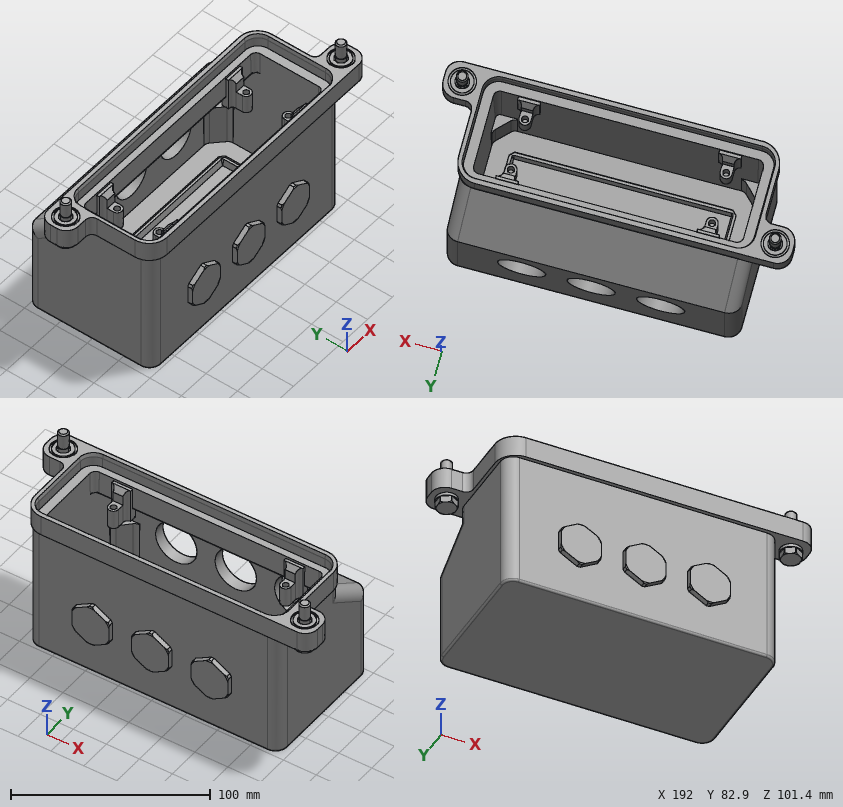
import cadquery as cq
import math

BODY_LENGTH = 152.8
BODY_DEPTH = 79.9
BODY_CORNER_RADIUS = 7.1
BOTTOM_EDGE_RADIUS = 1.2
SLOPE_LOW_Z = 54.0
SLOPE_HIGH_Z = 70.8
UPPER_BACK_Y = 55.0

FLANGE_BOTTOM_Z = 78.0
FLANGE_TOP_Z = 90.0
FLANGE_LENGTH = 156.5
FLANGE_DEPTH = 59.0
FLANGE_BACK_Y = 56.8
FLANGE_CORNER_RADIUS = 11.5

LUG_TIP_X = 96.0
LUG_WIDTH = 19.2
LUG_CORNER_RADIUS = 7.5
LUG_NECK_RADIUS = 4.0

RECESS_DEPTH = 8.0
RECESS_LENGTH = 151.0
RECESS_WIDTH = 52.8
RECESS_CORNER_RADIUS = 8.0
RIM_BEVEL_WIDTH = 0.5
RIM_BEVEL_HEIGHT = 2.3

DRAFT = 1.2
OPENING_LENGTH = 140.2
OPENING_FRONT_Y = 5.8
OPENING_BACK_Y = 49.7
OPENING_CORNER_RADIUS = 2.0
BACK_WALL = 7.1
FLOOR_Z = 9.8

POCKET_LENGTH = 117.9
POCKET_DEPTH = 44.2
POCKET_DROP = 4.8
POCKET_BEVEL = 1.3
POCKET_STEP = 1.2
POCKET_CORNER_CUT = 2.3

POST_TOP_Z = 34.5
POST_LEG = 8.6
POST_BLEND_RADIUS = 4.2

BOSS_X = 52.2
BOSS_HALF_PITCH = 13.5
BOSS_WIDTH = 6.1
BOSS_HOLE_DIAMETER = 3.5
BOSS_HOLE_DEPTH = 7.7
BOSS_TOP_Z = 72.0
BOSS_HEIGHT = 11.5
BLOCK_TOP_Z = 80.6
BLOCK_REACH = 4.6
BLOCK_BEVEL = 2.9
BLOCK_FLARE = 2.7
PAD_THICKNESS = 1.7

PORT_PITCH = 36.0
PORT_Z = 32.8
PORT_DIAMETER = 25.0
PLUG_ACROSS_FLATS = 22.5
PLUG_ROUND_DIAMETER = 25.0
PLUG_HEIGHT = 3.0
PLUG_BEVEL = 0.5

STUD_X = 86.5
STUD_HALF_PITCH_Y = 19.5
STUD_TOP_Z = 101.4
STUD_DIAMETER = 6.0
STUD_BEVEL = 0.8
NECK_DIAMETER = 5.4
NECK_TOP_Z = 91.8
STUD_HOLE_DIAMETER = 7.3
STUD_HOLE_DEPTH = 1.5
RING_INNER_DIAMETER = 12.0
RING_OUTER_DIAMETER = 14.2
RING_DEPTH = 0.8
HEAD_FLANGE_DIAMETER = 12.0
HEAD_FLANGE_HEIGHT = 1.7
HEAD_ACROSS_FLATS = 10.4
HEAD_ROUND_DIAMETER = 11.7
HEAD_BOTTOM_Z = 72.4
HEAD_BEVEL = 0.5

SLOPE_ANGLE = math.atan2(SLOPE_HIGH_Z - SLOPE_LOW_Z, BODY_DEPTH - UPPER_BACK_Y)
LEDGE_Z = FLANGE_TOP_Z - RECESS_DEPTH
FLANGE_CENTER_Y = FLANGE_BACK_Y - FLANGE_DEPTH / 2
OPENING_CENTER_Y = (OPENING_FRONT_Y + OPENING_BACK_Y) / 2
CAVITY_BACK_Y = BODY_DEPTH - BACK_WALL
DRAFT_SHIFT = (LEDGE_Z - FLOOR_Z) * math.tan(math.radians(DRAFT))
PORT_XS = (-PORT_PITCH, 0, PORT_PITCH)
SIDES = (-1, 1)


def block(length, depth, center_y, bottom_z, height):
    """Box centred on X."""
    box = cq.Workplane("XY").box(length, depth, height, (True, True, False))
    return box.translate((0, center_y, bottom_z))


def cylinder(diameter, bottom_z, top_z):
    return cq.Workplane("XY").workplane(offset=bottom_z).circle(diameter / 2).extrude(top_z - bottom_z)


def beveled_hexagon(across_flats, round_diameter, height, bevel):
    """Hexagonal prism rising along Z, trimmed by a round bar with a beveled top edge."""
    prism = cq.Workplane("XY").polygon(6, across_flats / math.cos(math.pi / 6)).extrude(height)
    bar = cylinder(round_diameter, 0, height).faces(">Z").chamfer(bevel)
    return prism.intersect(bar)


def make_body():
    """Solid housing with its sloped back and rounded corners."""
    profile = (
        cq.Workplane("YZ")
        .polyline([
            (0, 0), (BODY_DEPTH, 0), (BODY_DEPTH, SLOPE_LOW_Z),
            (UPPER_BACK_Y, SLOPE_HIGH_Z), (UPPER_BACK_Y, FLANGE_BOTTOM_Z), (0, FLANGE_BOTTOM_Z),
        ])
        .close()
    )
    body = profile.extrude(BODY_LENGTH / 2, both=True)
    body = body.edges("(<X or >X) and (not <Z) and (not >Z)").fillet(BODY_CORNER_RADIUS)
    return body.faces("<Z").edges().fillet(BOTTOM_EDGE_RADIUS)


def make_lug():
    """Ear at the -X end of the flange, flush with the flange's back edge."""
    inner_x = FLANGE_CORNER_RADIUS - FLANGE_LENGTH / 2
    height = FLANGE_TOP_Z - FLANGE_BOTTOM_Z
    lug = (
        cq.Workplane("XY").workplane(offset=FLANGE_BOTTOM_Z)
        .moveTo((inner_x - LUG_TIP_X) / 2, FLANGE_BACK_Y - LUG_WIDTH / 2)
        .rect(LUG_TIP_X + inner_x, LUG_WIDTH).extrude(height)
    )
    return lug.edges("|Z and <X").fillet(LUG_CORNER_RADIUS)


def half_turn(shape):
    """Copy turned half a turn about the flange's vertical axis."""
    return shape.rotate((0, FLANGE_CENTER_Y, 0), (0, FLANGE_CENTER_Y, 1), 180)


def make_flange():
    height = FLANGE_TOP_Z - FLANGE_BOTTOM_Z
    plate = block(FLANGE_LENGTH, FLANGE_DEPTH, FLANGE_CENTER_Y, FLANGE_BOTTOM_Z, height)
    plate = plate.edges("|Z").fillet(FLANGE_CORNER_RADIUS)
    lug = make_lug()
    flange = plate.union(lug).union(half_turn(lug))
    neck_x = FLANGE_LENGTH / 2
    neck_offset_y = FLANGE_BACK_Y - LUG_WIDTH - FLANGE_CENTER_Y
    for side in SIDES:
        corner = cq.selectors.NearestToPointSelector(
            (side * neck_x, FLANGE_CENTER_Y - side * neck_offset_y, FLANGE_BOTTOM_Z + height / 2)
        )
        flange = flange.edges("|Z").edges(corner).fillet(LUG_NECK_RADIUS)
    return flange


def make_recess():
    """Gasket seat with a steep bevel around its rim."""
    seat = block(RECESS_LENGTH, RECESS_WIDTH, FLANGE_CENTER_Y, LEDGE_Z, RECESS_DEPTH)
    seat = seat.edges("|Z").fillet(RECESS_CORNER_RADIUS)
    bevel_angle = math.degrees(math.atan2(RIM_BEVEL_WIDTH, RIM_BEVEL_HEIGHT))
    outline = cq.Sketch().rect(RECESS_LENGTH, RECESS_WIDTH).vertices().fillet(RECESS_CORNER_RADIUS)
    rim = (
        cq.Workplane("XY").placeSketch(outline).extrude(RIM_BEVEL_HEIGHT, taper=-bevel_angle)
        .translate((0, FLANGE_CENTER_Y, FLANGE_TOP_Z - RIM_BEVEL_HEIGHT))
    )
    return seat.union(rim)


def drafted_well(front_y, back_y):
    """Rounded well from the floor to the ledge; the sizes given apply at the ledge."""
    outline = (
        cq.Sketch().rect(OPENING_LENGTH - 2 * DRAFT_SHIFT, back_y - front_y - 2 * DRAFT_SHIFT)
        .vertices().fillet(OPENING_CORNER_RADIUS)
    )
    well = cq.Workplane("XY").placeSketch(outline).extrude(LEDGE_Z - FLOOR_Z, taper=-DRAFT)
    return well.translate((0, (front_y + back_y) / 2, FLOOR_Z))


def make_cavity():
    """Well below the opening plus the deeper chamber under the sloped back."""
    wall = UPPER_BACK_Y - OPENING_BACK_Y
    slope_start_z = SLOPE_HIGH_Z - wall * math.tan((math.pi / 2 - SLOPE_ANGLE) / 2)
    run = CAVITY_BACK_Y + DRAFT_SHIFT - OPENING_BACK_Y
    under_slope = (
        cq.Workplane("YZ")
        .polyline([
            (OPENING_CENTER_Y, FLOOR_Z), (OPENING_BACK_Y + run, FLOOR_Z),
            (OPENING_BACK_Y + run, slope_start_z - run * math.tan(SLOPE_ANGLE)),
            (OPENING_BACK_Y, slope_start_z), (OPENING_CENTER_Y, slope_start_z),
        ])
        .close().extrude(BODY_LENGTH / 2, both=True)
    )
    whole_well = drafted_well(OPENING_FRONT_Y, CAVITY_BACK_Y + DRAFT_SHIFT)
    return drafted_well(OPENING_FRONT_Y, OPENING_BACK_Y).union(whole_well.intersect(under_slope))


def make_floor_pocket():
    """Stepped, beveled pocket in the floor."""
    depth_center = BODY_DEPTH / 2
    bevel_angle = math.degrees(math.atan2(POCKET_BEVEL, POCKET_DROP))
    length = POCKET_LENGTH - 2 * POCKET_STEP
    depth = POCKET_DEPTH - 2 * POCKET_STEP
    step = block(POCKET_LENGTH, POCKET_DEPTH, depth_center, FLOOR_Z - POCKET_STEP, POCKET_STEP)
    step = step.edges("|Z").chamfer(POCKET_CORNER_CUT)
    well = (
        cq.Workplane("XY").rect(length - 2 * POCKET_BEVEL, depth - 2 * POCKET_BEVEL)
        .extrude(POCKET_DROP, taper=-bevel_angle)
        .translate((0, depth_center, FLOOR_Z - POCKET_DROP))
    )
    return step.union(well)


def make_corner_post():
    """Post for a corner at the origin with walls along +X and +Y, blended into both walls."""
    root = -BACK_WALL / 2
    tangent = POST_BLEND_RADIUS * math.tan(math.pi / 8)
    wall_end = POST_LEG + tangent
    face_long = POST_LEG - tangent * math.sqrt(0.5)
    face_short = tangent * math.sqrt(0.5)
    arc_long = wall_end - POST_BLEND_RADIUS * math.sin(math.pi / 8)
    arc_short = POST_BLEND_RADIUS * (1 - math.cos(math.pi / 8))
    return (
        cq.Workplane("XY").workplane(offset=FLOOR_Z)
        .moveTo(root, root).lineTo(wall_end, root).lineTo(wall_end, 0)
        .threePointArc((arc_long, arc_short), (face_long, face_short))
        .lineTo(face_short, face_long)
        .threePointArc((arc_short, arc_long), (0, wall_end))
        .lineTo(root, wall_end).close().extrude(POST_TOP_Z - FLOOR_Z)
    )


def add_corner_posts(housing):
    """Posts filling the four lower corners of the cavity."""
    corner_x = OPENING_LENGTH / 2 - DRAFT_SHIFT
    front_left = make_corner_post().translate((-corner_x, OPENING_FRONT_Y + DRAFT_SHIFT, 0))
    back_left = front_left.mirror("XZ", (0, (OPENING_FRONT_Y + DRAFT_SHIFT + CAVITY_BACK_Y) / 2, 0))
    for post in (front_left, back_left):
        housing = housing.union(post).union(post.mirror("YZ"))
    return housing


def make_insert_boss():
    """Screw tab and beveled block on a pad; the wall is at Y = 0 and the boss grows towards +Y."""
    screw_y = (OPENING_BACK_Y - OPENING_FRONT_Y) / 2 - BOSS_HALF_PITCH
    bottom_z = BOSS_TOP_Z - BOSS_HEIGHT
    half = BOSS_WIDTH / 2
    root_y = -BACK_WALL / 3
    tab = (
        cq.Workplane("XY").workplane(offset=bottom_z)
        .moveTo(-half, root_y).lineTo(-half, screw_y)
        .threePointArc((0, screw_y + half), (half, screw_y))
        .lineTo(half, root_y).close().extrude(BOSS_HEIGHT)
    )
    flare = half + BLOCK_FLARE
    blend_end = PAD_THICKNESS + BLOCK_FLARE
    inset = BLOCK_FLARE * (1 - math.sqrt(0.5))
    support = (
        cq.Workplane("XY").workplane(offset=bottom_z)
        .moveTo(-flare, root_y).lineTo(-flare, PAD_THICKNESS)
        .threePointArc((-half - inset, PAD_THICKNESS + inset), (-half, blend_end))
        .lineTo(-half, BLOCK_REACH).lineTo(half, BLOCK_REACH).lineTo(half, blend_end)
        .threePointArc((half + inset, PAD_THICKNESS + inset), (flare, PAD_THICKNESS))
        .lineTo(flare, root_y).close().extrude(BLOCK_TOP_Z - bottom_z)
    )
    support = support.faces(">Y").edges(">Z").chamfer(BLOCK_BEVEL)
    hole = cylinder(BOSS_HOLE_DIAMETER, BOSS_TOP_Z - BOSS_HOLE_DEPTH, BOSS_TOP_Z).translate((0, screw_y, 0))
    return tab.union(support).cut(hole)


def add_insert_bosses(housing):
    front = make_insert_boss().translate((0, OPENING_FRONT_Y, 0))
    back = front.mirror("XZ", (0, OPENING_CENTER_Y, 0))
    for side in SIDES:
        for boss in (front, back):
            housing = housing.union(boss.translate((side * BOSS_X, 0, 0)))
    return housing


def cut_ports(housing):
    """Round cable ports through the rear wall."""
    for x in PORT_XS:
        port = cq.Workplane("XZ", (x, BODY_DEPTH, PORT_Z)).circle(PORT_DIAMETER / 2).extrude(BACK_WALL * 2)
        housing = housing.cut(port)
    return housing


def add_plugs(housing):
    """Hexagonal blanking plugs on the front wall, corners up and down."""
    plug = beveled_hexagon(PLUG_ACROSS_FLATS, PLUG_ROUND_DIAMETER, PLUG_HEIGHT, PLUG_BEVEL)
    plug = plug.rotate((0, 0, 0), (0, 0, 1), 90).rotate((0, 0, 0), (1, 0, 0), 90)
    for x in PORT_XS:
        housing = housing.union(plug.translate((x, 0, PORT_Z)))
    return housing


def make_stud():
    """Locking screw along Z: hexagon head with collar, neck and beveled thread end."""
    collar_z = FLANGE_BOTTOM_Z - HEAD_FLANGE_HEIGHT
    head = beveled_hexagon(HEAD_ACROSS_FLATS, HEAD_ROUND_DIAMETER, collar_z - HEAD_BOTTOM_Z, HEAD_BEVEL)
    head = head.rotate((0, 0, 0), (0, 0, 1), 90).mirror("XY").translate((0, 0, collar_z))
    collar = cylinder(HEAD_FLANGE_DIAMETER, collar_z, FLANGE_BOTTOM_Z)
    neck = cylinder(NECK_DIAMETER, FLANGE_BOTTOM_Z, NECK_TOP_Z)
    thread = cylinder(STUD_DIAMETER, NECK_TOP_Z, STUD_TOP_Z).faces(">Z").chamfer(STUD_BEVEL)
    return head.union(collar).union(neck).union(thread)


def add_studs(housing):
    """A locking screw in each lug, inside a screw hole and a ring groove."""
    hole = cylinder(STUD_HOLE_DIAMETER, FLANGE_TOP_Z - STUD_HOLE_DEPTH, FLANGE_TOP_Z)
    groove_z = FLANGE_TOP_Z - RING_DEPTH
    groove = cylinder(RING_OUTER_DIAMETER, groove_z, FLANGE_TOP_Z)
    groove = groove.cut(cylinder(RING_INNER_DIAMETER, groove_z, FLANGE_TOP_Z))
    stud = make_stud()
    for side in SIDES:
        place = (side * STUD_X, FLANGE_CENTER_Y - side * STUD_HALF_PITCH_Y, 0)
        housing = housing.cut(hole.translate(place)).cut(groove.translate(place))
        housing = housing.union(stud.translate(place))
    return housing


housing = make_body().union(make_flange())
housing = housing.cut(make_cavity()).cut(make_recess()).cut(make_floor_pocket())
housing = add_corner_posts(housing)
housing = add_insert_bosses(housing)
housing = cut_ports(housing)
housing = add_plugs(housing)
result = add_studs(housing)